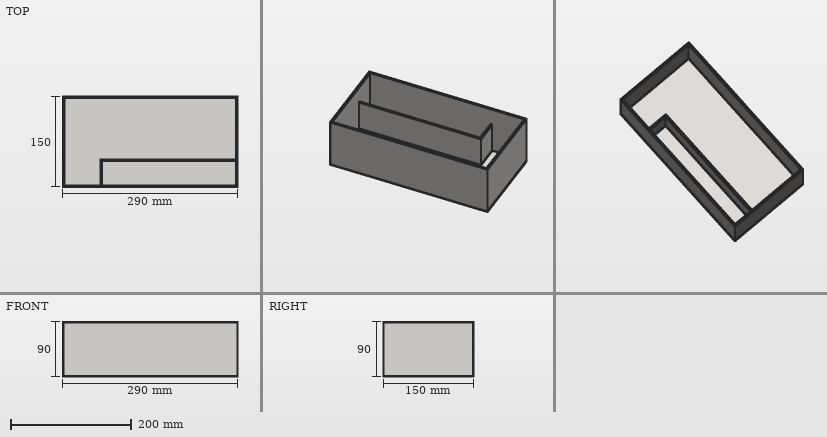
import cadquery as cq

length = 290.0
width = 150.0
height = 90.0
wall = 2.5
floor = 3.0

divider_left = 62.0
divider_back = 45.5
divider_top = 58.0
divider_wall = 3.0


def corner_box(x_size, y_size, z_size, x=0, y=0, z=0):
    """Box whose lowest corner sits at the given point."""
    return cq.Workplane("XY").box(x_size, y_size, z_size, centered=False).translate((x, y, z))


def tray():
    cavity = corner_box(length - 2 * wall, width - 2 * wall, height - floor, wall, wall, floor)
    return corner_box(length, width, height).cut(cavity)


def divider():
    """Two thin walls that run into the front and right sides of the tray."""
    long_wall_front = divider_back - divider_wall
    long_wall = corner_box(length - divider_left, divider_wall, divider_top, divider_left, long_wall_front)
    short_wall = corner_box(divider_wall, divider_back, divider_top, divider_left)
    return long_wall.union(short_wall)


result = tray().union(divider())